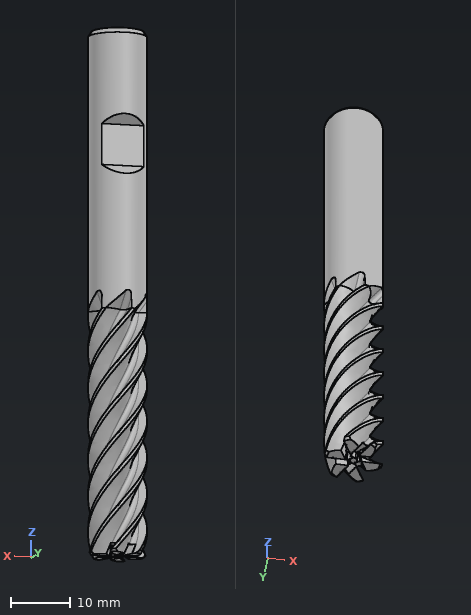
import cadquery as cq
import math

total_length = 90.0
diameter = 10.0
radius = diameter / 2
cutting_length = 41.85

tooth_count = 6
tooth_pitch = 360.0 / tooth_count
helix_lead = 37.3
cutting_twist = 360.0 * cutting_length / helix_lead
upper_edge_angle = 43.0
tip_edge_angle = upper_edge_angle - cutting_twist

land_angle = 8.7
back_bulge = 0.3
floor_start_radius = 3.0
floor_start_angle = 39.0
core_radius = 2.8
rake_base_radius = 3.5
rake_base_angle = 59.5

runout_length = 3.1
runout_drift = radius - core_radius
runout_clearance = 0.9

gash_height = 1.8
gash_twist = 360.0 * gash_height / helix_lead
gash_width = 1.2
gash_inner_radius = 0.5
tip_chamfer = 0.45
chamfer_clearance = 0.45

top_chamfer_height = 0.9
top_chamfer_width = 0.5
flat_depth = 1.6
flat_floor_length = 7.0
flat_center_height = 70.0
flat_clearance = 0.9


def polar(distance, angle):
    """Return the XY point at a distance from the axis and a polar angle in degrees."""
    return distance * math.cos(math.radians(angle)), distance * math.sin(math.radians(angle))


def edge_angles(first_angle):
    """Return the polar angles of all cutting edges, given the first."""
    return [first_angle + tooth * tooth_pitch for tooth in range(tooth_count)]


def trace_flute(outline, edge_angle):
    """Continue an outline from the end of a land, through the flute, to the next cutting edge."""
    land_x, land_y = polar(radius, edge_angle + land_angle)
    floor_x, floor_y = polar(floor_start_radius, edge_angle + floor_start_angle)
    chord_x = floor_x - land_x
    chord_y = floor_y - land_y
    bulge_ratio = back_bulge / math.hypot(chord_x, chord_y)
    back_middle = (
        (land_x + floor_x) / 2 + chord_y * bulge_ratio,
        (land_y + floor_y) / 2 - chord_x * bulge_ratio,
    )
    floor_middle_angle = edge_angle + (floor_start_angle + rake_base_angle) / 2
    return (
        outline.threePointArc(back_middle, (floor_x, floor_y))
        .threePointArc(
            polar(core_radius, floor_middle_angle),
            polar(rake_base_radius, edge_angle + rake_base_angle),
        )
        .lineTo(*polar(radius, edge_angle + tooth_pitch))
    )


def make_fluted_bar():
    """Twist the six-tooth section up the cutting length."""
    outline = cq.Workplane("XY").moveTo(*polar(radius, tip_edge_angle))
    for edge_angle in edge_angles(tip_edge_angle):
        outline = outline.threePointArc(
            polar(radius, edge_angle + land_angle / 2),
            polar(radius, edge_angle + land_angle),
        )
        outline = trace_flute(outline, edge_angle)
    return outline.close().twistExtrude(cutting_length, cutting_twist)


def make_gash(edge_angle):
    """Block that follows the rake face and cuts into the core below the flute floor."""
    return (
        cq.Workplane("XY")
        .moveTo((gash_inner_radius + rake_base_radius) / 2, -gash_width / 2)
        .rect(rake_base_radius - gash_inner_radius, gash_width)
        .twistExtrude(gash_height, gash_twist)
        .rotate((0, 0, 0), (0, 0, 1), edge_angle)
    )


def make_tip_chamfer():
    """Ring that bevels the outer corners of the teeth at 45 degrees at the tip."""
    reach = tip_chamfer + chamfer_clearance
    inner_radius = radius - reach
    outer_radius = radius + chamfer_clearance
    return (
        cq.Workplane("XZ")
        .polyline(
            [
                (inner_radius, -chamfer_clearance),
                (outer_radius, -chamfer_clearance),
                (outer_radius, reach),
            ]
        )
        .close()
        .revolve(360, (0, 0, 0), (0, 1, 0))
    )


def make_cutter():
    """Fluted cutting length with bevelled and gashed tip."""
    cutter = make_fluted_bar().cut(make_tip_chamfer())
    for edge_angle in edge_angles(tip_edge_angle):
        cutter = cutter.cut(make_gash(edge_angle))
    return cutter


def make_runout(edge_angle):
    """Flute section above the cutting length, drifting outward along its rake face as it rises."""
    next_edge_angle = edge_angle + tooth_pitch
    outer_radius = radius + runout_clearance
    outline = cq.Workplane("XY", origin=(0, 0, cutting_length))
    outline = outline.moveTo(*polar(radius, edge_angle + land_angle))
    outline = (
        trace_flute(outline, edge_angle)
        .lineTo(*polar(outer_radius, next_edge_angle))
        .threePointArc(
            polar(outer_radius, edge_angle + (land_angle + tooth_pitch) / 2),
            polar(outer_radius, edge_angle + land_angle),
        )
        .close()
    )
    drift_x, drift_y = polar(runout_drift, next_edge_angle)
    path = cq.Vector(drift_x, drift_y, runout_length)
    return cq.Workplane(obj=cq.Solid.extrudeLinear(outline.val(), [], path))


def make_clamping_flat():
    """Trapezoid prism that leaves a clamping flat with 45 degree ends on the +Y side."""
    floor_y = radius - flat_depth
    outer_y = radius + flat_clearance
    half_floor = flat_floor_length / 2
    half_opening = half_floor + outer_y - floor_y
    return (
        cq.Workplane("YZ")
        .polyline(
            [
                (floor_y, flat_center_height - half_floor),
                (floor_y, flat_center_height + half_floor),
                (outer_y, flat_center_height + half_opening),
                (outer_y, flat_center_height - half_opening),
            ]
        )
        .close()
        .extrude(radius, both=True)
    )


def make_shank():
    """Plain shank and neck above the cutting length."""
    shank = (
        cq.Workplane("XZ")
        .polyline(
            [
                (0, cutting_length),
                (radius, cutting_length),
                (radius, total_length - top_chamfer_height),
                (radius - top_chamfer_width, total_length),
                (0, total_length),
            ]
        )
        .close()
        .revolve(360, (0, 0, 0), (0, 1, 0))
    )
    shank = shank.cut(make_clamping_flat())
    for edge_angle in edge_angles(upper_edge_angle):
        shank = shank.cut(make_runout(edge_angle))
    return shank


cutter = make_cutter()
shank = make_shank()
result = cq.Compound.makeCompound([shank.val(), cutter.val()])